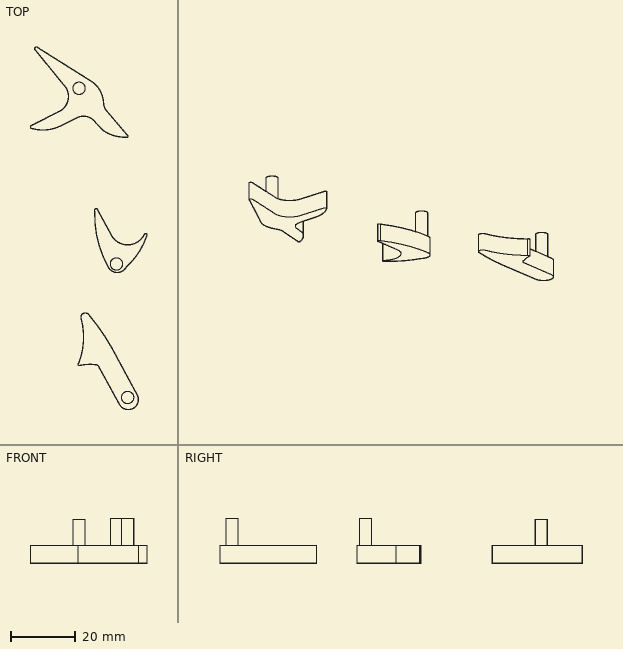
import cadquery as cq

PLATE_THICKNESS = 5.5
PIN_DIAMETER = 3.8
TALL_PIN_TOP = 14.0
CLAW_PIN_TOP = 13.7

CLAW_PIVOT = (-2.9, 43.5)
CRESCENT_PIVOT = (8.7, -11.0)
HOOK_PIVOT = (12.2, -52.6)


def claw_outline():
    """Three-armed claw: a long tapered arm and two curved legs around a rounded hub."""
    return (
        cq.Workplane("XY")
        .moveTo(-13.8, 12.1)
        .threePointArc((-13.7, 12.7), (-12.7, 12.6))
        .lineTo(3.0, 2.7)
        .threePointArc((6.2, -0.1), (7.7, -4.5))
        .threePointArc((7.9, -5.8), (8.8, -7.2))
        .lineTo(15.1, -14.7)
        .threePointArc((15.2, -15.1), (14.8, -15.2))
        .threePointArc((10.9, -14.8), (7.6, -13.2))
        .lineTo(5.1, -10.6)
        .threePointArc((2.4, -8.8), (-0.6, -9.1))
        .lineTo(-6.0, -11.8)
        .threePointArc((-10.3, -13.0), (-14.7, -12.5))
        .threePointArc((-15.1, -12.2), (-14.8, -11.5))
        .lineTo(-5.6, -6.9)
        .threePointArc((-3.4, -3.4), (-4.9, 1.1))
        .close()
    )


def crescent_outline():
    """Crescent with two horns, one long and one short, above a rounded heel."""
    return (
        cq.Workplane("XY")
        .moveTo(-6.8, 16.4)
        .threePointArc((-6.5, 17.1), (-5.8, 16.7))
        .lineTo(-1.8, 9.5)
        .threePointArc((3.2, 6.0), (8.7, 9.3))
        .threePointArc((9.4, 9.4), (9.5, 8.7))
        .threePointArc((7.0, 3.6), (3.0, -1.0))
        .threePointArc((0.2, -2.7), (-2.6, -0.9))
        .threePointArc((-5.9, 7.5), (-6.8, 16.4))
        .close()
    )


def hook_outline():
    """Straight arm with a round pivot end, widening to a blunt nose and a pointed barb."""
    return (
        cq.Workplane("XY")
        .moveTo(-14.5, 24.7)
        .threePointArc((-13.8, 26.2), (-12.0, 25.6))
        .threePointArc((-8.0, 20.4), (-4.9, 15.3))
        .lineTo(2.8, 1.1)
        .threePointArc((1.6, -3.5), (-2.6, -2.1))
        .lineTo(-8.9, 9.4)
        .threePointArc((-9.3, 9.9), (-9.9, 10.2))
        .threePointArc((-12.3, 10.3), (-14.8, 9.9))
        .threePointArc((-15.2, 9.9), (-15.2, 10.7))
        .threePointArc((-13.8, 17.7), (-14.5, 24.7))
        .close()
    )


def pinned_plate(outline, pivot, pin_top):
    """Flat plate with an upright pin at its pivot, joined as one solid."""
    plate = outline.extrude(PLATE_THICKNESS)
    pin = cq.Workplane("XY").circle(PIN_DIAMETER / 2).extrude(pin_top)
    return plate.union(pin).translate(pivot)


claw = pinned_plate(claw_outline(), CLAW_PIVOT, CLAW_PIN_TOP)
crescent = pinned_plate(crescent_outline(), CRESCENT_PIVOT, TALL_PIN_TOP)
hook = pinned_plate(hook_outline(), HOOK_PIVOT, TALL_PIN_TOP)

result = cq.Compound.makeCompound([claw.val(), crescent.val(), hook.val()])